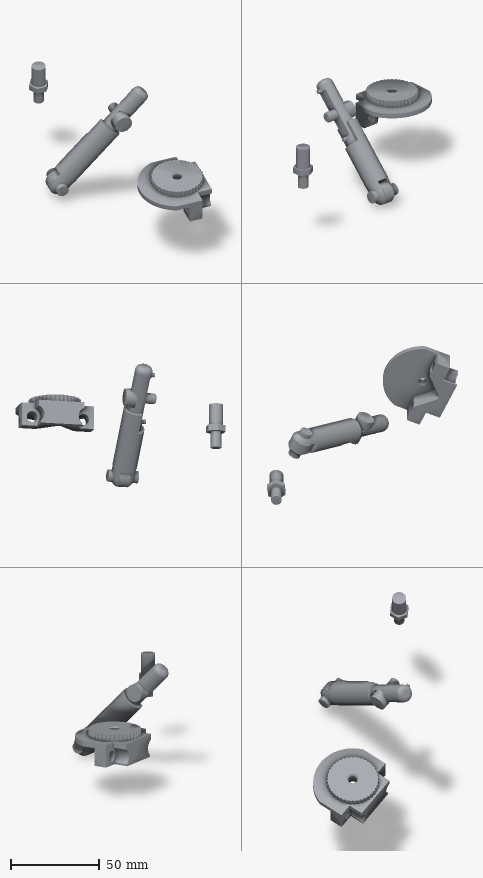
import cadquery as cq
import math


STUD_X = -52.5
STUD_Y = 8.4
STUD_BOTTOM_Z = 17.7
STUD_LOWER_DIAMETER = 6.0
STUD_LOWER_LENGTH = 9.2
STUD_UPPER_DIAMETER = 8.0
STUD_UPPER_LENGTH = 12.3
HEX_SIDES = 6
HEX_ACROSS_FLATS = 10.0
HEX_THICKNESS = 3.5

ARM_TILT = 45
PIVOT_DIAMETER = 7.0
PIVOT_LENGTH = 17.6
FORK_DIAMETER = 13.6
FORK_SLOT_WIDTH = 7.0
FORK_SLOT_END = 6.2
EYE_DIAMETER = 12.0
EYE_WIDTH = 6.3
TUBE_DIAMETER = 14.0
TUBE_START = 7.2
TUBE_END = 45.1
TUBE_CUT_START = 32.5
TUBE_CUT_DEPTH = 4.6
ROD_DIAMETER = 10.0
ROD_END = 73.7
ROD_END_FILLET = 3.0
CROSS_PIN_DISTANCE = 52.6
FLAT_LENGTH = 29.8
FLAT_DEPTH = 1.3
CROSS_PIN_DIAMETER = 6.0
CROSS_PIN_REACH = 10.0
CROSS_PIN_CHAMFER = 0.5
HEAD_DIAMETER = 10.0
HEAD_REACH = 8.0
HEAD_POCKET_DIAMETER = 12.0
HEAD_POCKET_FLOOR_X = 2.0
SMALL_PIN_OFFSET = 15.6
UPPER_SMALL_PIN_DIAMETER = 2.4
UPPER_SMALL_PIN_REACH = 6.8
LOWER_SMALL_PIN_DIAMETER = 2.5
LOWER_SMALL_PIN_REACH = TUBE_DIAMETER / 2

DISC_X = 52.6
DISC_Y = 52.6
PLATE_TOP_Z = 25.2
PLATE_THICKNESS = 2.9
PLATE_WIDTH = 42.2
PLATE_RADIUS = 22.5
PLATE_BACK = 7.5
TAB_WIDTH = 26.6
TAB_BACK = 16.0
BLOCK_HEIGHT = 10.4
BLOCK_FRONT = -0.3
DISC_DIAMETER = 29.9
DISC_THICKNESS = 4.0
TOOTH_COUNT = 40
SCALLOP_DIAMETER = 2.6
DISC_HOLE_DIAMETER = 5.0
DISC_HOLE_MOUTH_DIAMETER = 6.5
SIDE_HOLE_DIAMETER = 6.3
SIDE_HOLE_SPACING = 30.0
SIDE_HOLE_HEIGHT = 5.2
HEAD_GROOVE_DIAMETER = 10.0
HEAD_RELIEF_WIDTH = 5.8
VEE_WIDTH = 22.3
VEE_ANGLE = 90
VEE_FILLET = 2.0


def rod_along_x(diameter, start_x, end_x, distance=0):
    """Cylinder parallel to X that crosses the arm axis at the given distance from the pivot."""
    plane = cq.Workplane("YZ", origin=(start_x, 0, distance))
    return plane.circle(diameter / 2).extrude(end_x - start_x)


def rod_along_arm(diameter, start, end):
    """Cylinder on the arm axis between two distances from the pivot."""
    return cq.Workplane("XY", origin=(0, 0, start)).circle(diameter / 2).extrude(end - start)


def make_stud():
    """Stepped round stud with a hexagonal flange whose corners point along Y."""
    lower = cq.Workplane("XY").circle(STUD_LOWER_DIAMETER / 2).extrude(STUD_LOWER_LENGTH)
    half_side_angle = 180 / HEX_SIDES
    across_corners = HEX_ACROSS_FLATS / math.cos(math.radians(half_side_angle))
    nut = lower.faces(">Z").workplane().transformed(rotate=(0, 0, half_side_angle))
    nut = nut.polygon(HEX_SIDES, across_corners).extrude(HEX_THICKNESS)
    stud = nut.faces(">Z").workplane().circle(STUD_UPPER_DIAMETER / 2).extrude(STUD_UPPER_LENGTH)
    return stud.translate((STUD_X, STUD_Y, STUD_BOTTOM_Z))


def make_fork():
    """Slotted fork with a hemispherical end, the eye in its slot, and the pivot pin."""
    radius = FORK_DIAMETER / 2
    fork = rod_along_arm(FORK_DIAMETER, 0, TUBE_START).union(cq.Workplane("XY").sphere(radius))
    slot = cq.Workplane("XY", origin=(0, 0, -radius)).box(
        FORK_SLOT_WIDTH, FORK_DIAMETER, radius + FORK_SLOT_END, centered=(True, True, False)
    )
    eye = rod_along_x(EYE_DIAMETER, -EYE_WIDTH / 2, EYE_WIDTH / 2)
    pivot = rod_along_x(PIVOT_DIAMETER, -PIVOT_LENGTH / 2, PIVOT_LENGTH / 2)
    return fork.cut(slot).union(eye).union(pivot)


def make_tube():
    """Tube whose mouth is cut open on the -X side."""
    tube = rod_along_arm(TUBE_DIAMETER, TUBE_START, TUBE_END)
    opening = cq.Workplane("XY", origin=(-TUBE_DIAMETER / 2, 0, TUBE_CUT_START)).box(
        TUBE_CUT_DEPTH, TUBE_DIAMETER, TUBE_END - TUBE_CUT_START, centered=(False, True, False)
    )
    return tube.cut(opening)


def make_rod():
    """Round-ended rod with a flat on the -X side and a pocket for the pin head on the +X side."""
    rod = rod_along_arm(ROD_DIAMETER, TUBE_START, ROD_END).faces(">Z").edges().fillet(ROD_END_FILLET)
    flat = cq.Workplane("XY", origin=(-ROD_DIAMETER / 2, 0, CROSS_PIN_DISTANCE)).box(
        FLAT_DEPTH, ROD_DIAMETER, FLAT_LENGTH, centered=(False, True, True)
    )
    pocket = rod_along_x(HEAD_POCKET_DIAMETER, HEAD_POCKET_FLOOR_X, HEAD_REACH, CROSS_PIN_DISTANCE)
    return rod.cut(flat).cut(pocket)


def make_cross_pins():
    """Headed pin through the rod and the two small pins beyond the ends of the flat."""
    pin = rod_along_x(CROSS_PIN_DIAMETER, -CROSS_PIN_REACH, 0, CROSS_PIN_DISTANCE)
    pin = pin.faces("<X").edges().chamfer(CROSS_PIN_CHAMFER)
    head = rod_along_x(HEAD_DIAMETER, HEAD_POCKET_FLOOR_X, HEAD_REACH, CROSS_PIN_DISTANCE)
    upper = rod_along_x(
        UPPER_SMALL_PIN_DIAMETER, -UPPER_SMALL_PIN_REACH, 0, CROSS_PIN_DISTANCE + SMALL_PIN_OFFSET
    )
    lower = rod_along_x(
        LOWER_SMALL_PIN_DIAMETER, -LOWER_SMALL_PIN_REACH, 0, CROSS_PIN_DISTANCE - SMALL_PIN_OFFSET
    )
    return [pin, head, upper, lower]


def make_arm():
    """Fork, tube, rod and pins joined on an upright axis, then tilted about the pivot."""
    arm = make_fork().union(make_tube()).union(make_rod())
    for pin in make_cross_pins():
        arm = arm.union(pin)
    return arm.rotate((0, 0, 0), (1, 0, 0), -ARM_TILT)


def make_plate():
    """Round-fronted plate on a block that has two wings and a narrower tab at the back."""
    half_width = PLATE_WIDTH / 2
    arc_end_y = -math.sqrt(PLATE_RADIUS**2 - half_width**2)
    outline = (
        cq.Workplane("XY")
        .moveTo(-half_width, PLATE_BACK)
        .lineTo(-half_width, arc_end_y)
        .threePointArc((0, -PLATE_RADIUS), (half_width, arc_end_y))
        .lineTo(half_width, PLATE_BACK)
        .close()
    )
    plate = outline.extrude(-PLATE_THICKNESS)
    block_height = PLATE_THICKNESS + BLOCK_HEIGHT
    wings = cq.Workplane("XY", origin=(0, BLOCK_FRONT, -block_height)).box(
        PLATE_WIDTH, PLATE_BACK - BLOCK_FRONT, block_height, centered=(True, False, False)
    )
    tab = cq.Workplane("XY", origin=(0, BLOCK_FRONT, -block_height)).box(
        TAB_WIDTH, TAB_BACK - BLOCK_FRONT, block_height, centered=(True, False, False)
    )
    return plate.union(wings).union(tab)


def make_vee():
    """Cutter for the round-bottomed vee in the front of the block."""
    half_width = VEE_WIDTH / 2
    depth = half_width / math.tan(math.radians(VEE_ANGLE / 2))
    vee = (
        cq.Workplane("XY", origin=(0, BLOCK_FRONT, -PLATE_THICKNESS))
        .polyline([(-half_width, 0), (0, depth), (half_width, 0)])
        .close()
        .extrude(-BLOCK_HEIGHT)
    )
    return vee.edges("|Z and >Y").fillet(VEE_FILLET)


def make_side_hole(x):
    """Cutter for a screw hole through a wing, with a groove, open below, for the screw head in the tab."""
    bottom = -PLATE_THICKNESS - BLOCK_HEIGHT
    hole = cq.Workplane("XZ", origin=(x, BLOCK_FRONT, bottom + SIDE_HOLE_HEIGHT))
    hole = hole.circle(SIDE_HOLE_DIAMETER / 2).extrude(BLOCK_FRONT - PLATE_BACK)
    groove = cq.Workplane("XZ", origin=(x, PLATE_BACK, bottom + SIDE_HOLE_HEIGHT))
    groove = groove.circle(HEAD_GROOVE_DIAMETER / 2).extrude(PLATE_BACK - TAB_BACK)
    relief = cq.Workplane("XY", origin=(x, PLATE_BACK, bottom)).box(
        HEAD_RELIEF_WIDTH, TAB_BACK - PLATE_BACK, SIDE_HOLE_HEIGHT, centered=(True, False, False)
    )
    return hole.union(groove).union(relief)


def make_disc():
    """Disc whose rim is scalloped so that neighbouring scallops meet in sharp teeth."""
    radius = DISC_DIAMETER / 2
    half_pitch = math.pi / TOOTH_COUNT
    half_chord = radius * math.sin(half_pitch)
    centre_radius = radius * math.cos(half_pitch) + math.sqrt((SCALLOP_DIAMETER / 2) ** 2 - half_chord**2)
    scallops = (
        cq.Workplane("XY")
        .polarArray(centre_radius, 0, 360, TOOTH_COUNT)
        .circle(SCALLOP_DIAMETER / 2)
        .extrude(DISC_THICKNESS)
    )
    return cq.Workplane("XY").circle(radius).extrude(DISC_THICKNESS).cut(scallops)


def make_bracket():
    """Plate and block with the toothed disc on top and a chamfered bore through all of them."""
    bracket = make_plate().cut(make_vee())
    for x in (-SIDE_HOLE_SPACING / 2, SIDE_HOLE_SPACING / 2):
        bracket = bracket.cut(make_side_hole(x))
    bracket = bracket.union(make_disc())
    hole = cq.Workplane("XY", origin=(0, 0, DISC_THICKNESS)).circle(DISC_HOLE_DIAMETER / 2)
    hole = hole.extrude(-DISC_THICKNESS - PLATE_THICKNESS - BLOCK_HEIGHT)
    mouth_depth = (DISC_HOLE_MOUTH_DIAMETER - DISC_HOLE_DIAMETER) / 2
    mouth = (
        cq.Workplane("XY", origin=(0, 0, DISC_THICKNESS))
        .circle(DISC_HOLE_MOUTH_DIAMETER / 2)
        .extrude(-mouth_depth, taper=45)
    )
    return bracket.cut(hole).cut(mouth).translate((DISC_X, DISC_Y, PLATE_TOP_Z))


stud = make_stud()
arm = make_arm()
bracket = make_bracket()

result = cq.Compound.makeCompound([stud.val(), arm.val(), bracket.val()])